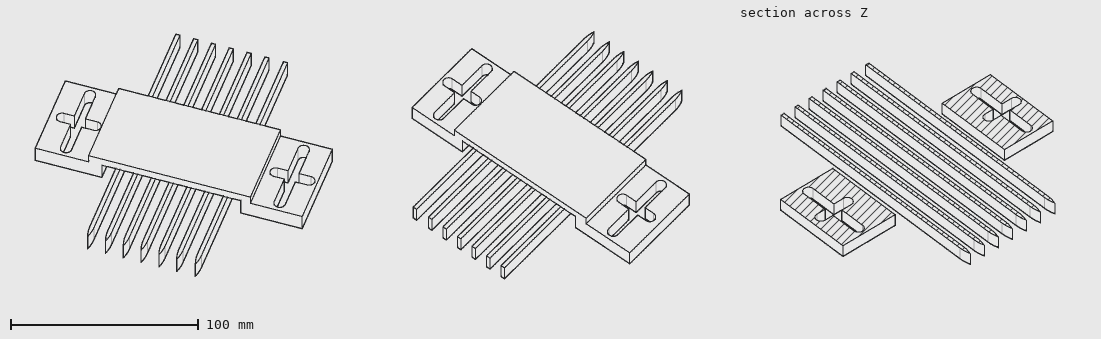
import cadquery as cq

overall_length = 150.0
blade_length = 150.0
overall_height = 15.0

body_width = overall_length / 3
flange_height = overall_height * 2 / 3
deck_start_x = -45.0
deck_end_x = 45.9
recess_start_x = -37.5
recess_end_x = 40.4

slot_width = 6.2
long_slot_length = 45.8
short_slot_length = 24.9
slot_spacing = 120.0
left_slot_x = -59.4
short_slot_shift = 0.5
right_slot_x = left_slot_x + slot_spacing

blade_width = 2.4
blade_pitch = overall_length / 15
first_blade_x = -28.6
blade_count = 7
last_blade_shift = 0.5
tip_length = 7.0


def make_body():
    """Stepped profile in the XZ plane, extruded symmetrically along Y."""
    end_x = overall_length / 2
    profile = [
        (-end_x, 0),
        (recess_start_x, 0),
        (recess_start_x, flange_height),
        (recess_end_x, flange_height),
        (recess_end_x, 0),
        (end_x, 0),
        (end_x, flange_height),
        (deck_end_x, flange_height),
        (deck_end_x, overall_height),
        (deck_start_x, overall_height),
        (deck_start_x, flange_height),
        (-end_x, flange_height),
    ]
    return cq.Workplane("XZ").polyline(profile).close().extrude(body_width / 2, both=True)


def make_cross_slot(center_x):
    """Cutter made of a long slot along Y crossed by a short slot along X."""
    long_slot = (
        cq.Workplane("XY")
        .center(center_x, 0)
        .slot2D(long_slot_length, slot_width, 90)
        .extrude(flange_height)
    )
    short_slot = (
        cq.Workplane("XY")
        .center(center_x + short_slot_shift, 0)
        .slot2D(short_slot_length, slot_width)
        .extrude(flange_height)
    )
    return long_slot.union(short_slot)


def make_blade(center_x):
    """Blade with a square rear end and a point whose two curved sides leave the flanks tangentially."""
    half_width = blade_width / 2
    rear_y = blade_length / 2
    tip_y = -blade_length / 2
    shoulder_y = tip_y + tip_length
    tip_radius = (half_width**2 + tip_length**2) / (2 * half_width)
    return (
        cq.Workplane("XY")
        .center(center_x, 0)
        .moveTo(-half_width, rear_y)
        .lineTo(-half_width, shoulder_y)
        .radiusArc((0, tip_y), -tip_radius)
        .radiusArc((half_width, shoulder_y), -tip_radius)
        .lineTo(half_width, rear_y)
        .close()
        .extrude(flange_height)
    )


result = make_body()

for slot_x in (left_slot_x, right_slot_x):
    result = result.cut(make_cross_slot(slot_x))

blade_centers = [first_blade_x + index * blade_pitch for index in range(blade_count)]
blade_centers[-1] += last_blade_shift
for blade_x in blade_centers:
    result = result.union(make_blade(blade_x))